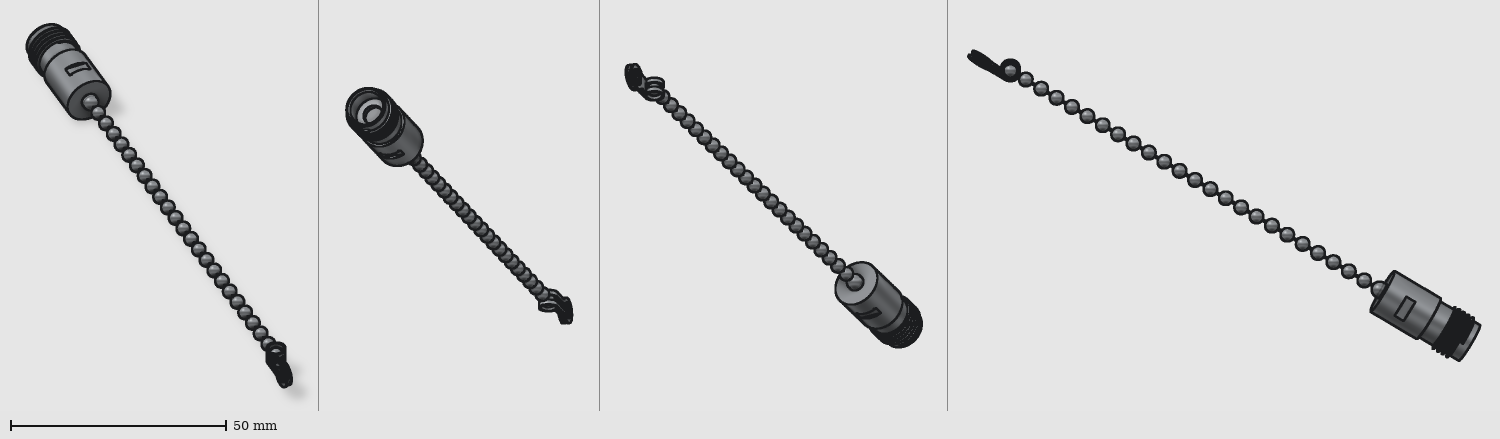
import cadquery as cq
import math

total_length = 134.7

cap_length = 23.6
collar_start = 11.0
collar_radius = 5.5
neck_radius = 4.8
bore_radius = 4.0
bore_depth = 4.7
mouth_chamfer = 0.5
recess_radius = 2.3
recess_depth = 1.3

flat_start = 16.3
flat_length = 2.4
flat_height = 4.8

thread_start = 1.8
thread_length = 5.4
thread_pitch = 1.25
thread_turns = 4.5
first_crest_x = 1.9
thread_base_width = 1.1
thread_crest_width = 0.3
thread_root_overlap = 0.3

bead_radius = 1.6
bead_pitch = 4.2
bead_count = 24
wire_radius = 0.2
stud_radius = 1.9
stud_length = 0.8

sheet = 0.4
loop_outer_diameter = 4.5
strap_width = 3.6
slot_width = 1.2
eyelet_diameter = 6.0
eyelet_hole_radius = 1.9
rear_eyelet_shift = 0.3
rear_leaf_gap = 0.4
rear_leaf_rise = 0.4

stud_center_x = cap_length + stud_length
last_bead_x = stud_center_x + bead_count * bead_pitch
eyelet_radius = eyelet_diameter / 2
loop_outer_radius = loop_outer_diameter / 2
loop_inner_radius = loop_outer_radius - sheet

cutter_span = 2 * collar_radius


def x_cylinder(radius, start, length):
    """Cylinder about the X axis."""
    return cq.Workplane("YZ", origin=(start, 0, 0)).circle(radius).extrude(length)


def thread_ridge():
    """Right-handed helical ridge that winds around the neck."""
    root_radius = neck_radius - thread_root_overlap
    helix_height = thread_pitch * thread_turns
    helix = cq.Wire.makeHelix(thread_pitch, helix_height, root_radius)
    ridge = (
        cq.Workplane("XZ")
        .polyline([
            (root_radius, -thread_base_width / 2),
            (collar_radius, -thread_crest_width / 2),
            (collar_radius, thread_crest_width / 2),
            (root_radius, thread_base_width / 2),
        ])
        .close()
        .sweep(cq.Workplane(obj=helix), isFrenet=True)
    )
    ridge = ridge.rotate((0, 0, 0), (0, 1, 0), 90).translate((first_crest_x, 0, 0))
    return ridge.intersect(x_cylinder(cutter_span, thread_start, thread_length))


def make_cap():
    """Threaded cap with a chamfered blind bore and a wrench flat on two sides."""
    cap = x_cylinder(neck_radius, 0, collar_start)
    cap = cap.union(x_cylinder(collar_radius, collar_start, cap_length - collar_start))

    flat_depth = collar_radius - flat_height
    for side in (1, -1):
        flat_center = (flat_start + flat_length / 2, 0, side * (flat_height + flat_depth / 2))
        cap = cap.cut(cq.Workplane(origin=flat_center).box(flat_length, cutter_span, flat_depth))

    cap = cap.union(thread_ridge())
    cap = cap.cut(x_cylinder(bore_radius, 0, bore_depth))
    cap = cap.cut(x_cylinder(recess_radius, bore_depth, recess_depth))
    mouth_cone = cq.Solid.makeCone(
        bore_radius + mouth_chamfer, bore_radius, mouth_chamfer, dir=cq.Vector(1, 0, 0)
    )
    return cap.cut(cq.Workplane(obj=mouth_cone))


def make_chain():
    """Beads on one wire, with a round-nosed stud that stands on the end of the cap."""
    chain = x_cylinder(stud_radius, cap_length, stud_length)
    nose = cq.Workplane(origin=(stud_center_x, 0, 0)).sphere(stud_radius)
    chain = chain.union(nose.intersect(x_cylinder(stud_radius, stud_center_x, stud_radius)))
    chain = chain.union(x_cylinder(wire_radius, stud_center_x, last_bead_x - stud_center_x))
    for number in range(1, bead_count + 1):
        bead = cq.Workplane(origin=(stud_center_x + number * bead_pitch, 0, 0)).sphere(bead_radius)
        chain = chain.union(bead)
    return chain


def strip(outline, width):
    """Outline in the XY plane, extruded to a strip that is centred on Z = 0."""
    return outline.close().extrude(width / 2, both=True)


def eyelet_mask(center_x, strap_start):
    """Strap that ends in a round eyelet, as a tall block along Y."""
    length = center_x - strap_start
    strap = cq.Workplane().box(length, cutter_span, strap_width).translate(
        ((strap_start + center_x) / 2, 0, 0)
    )
    ring = cq.Workplane("XZ", origin=(center_x, 0, 0))
    disc = ring.circle(eyelet_radius).extrude(cutter_span / 2, both=True)
    hole = ring.circle(eyelet_hole_radius).extrude(cutter_span / 2, both=True)
    return strap.union(disc).cut(hole)


def make_clip():
    """Folded strip: a loop around the last bead and two leaves with eyelets."""
    eyelet_x = total_length - eyelet_radius
    rear_eyelet_x = eyelet_x - rear_eyelet_shift
    rear_tip_x = rear_eyelet_x + eyelet_radius

    front_y = -loop_outer_radius
    rear_y = front_y + sheet + rear_leaf_gap
    loop_outer_end_x = last_bead_x + math.sqrt(loop_outer_radius**2 - (rear_y + sheet) ** 2)
    loop_inner_end_x = last_bead_x + math.sqrt(loop_inner_radius**2 - rear_y**2)
    loop_path = (
        cq.Workplane()
        .moveTo(last_bead_x, front_y)
        .threePointArc((last_bead_x - loop_outer_radius, 0), (last_bead_x, loop_outer_radius))
        .threePointArc((last_bead_x + loop_outer_radius, 0), (loop_outer_end_x, rear_y + sheet))
        .lineTo(loop_outer_end_x, rear_y)
        .lineTo(loop_inner_end_x, rear_y)
        .threePointArc((last_bead_x + loop_inner_radius, 0), (last_bead_x, loop_inner_radius))
        .threePointArc((last_bead_x - loop_inner_radius, 0), (last_bead_x, -loop_inner_radius))
    )
    loop = strip(loop_path, strap_width)

    front_path = (
        cq.Workplane()
        .moveTo(last_bead_x, front_y)
        .lineTo(total_length, front_y)
        .lineTo(total_length, front_y + sheet)
        .lineTo(last_bead_x, front_y + sheet)
    )
    front_leaf = strip(front_path, eyelet_diameter).intersect(eyelet_mask(eyelet_x, last_bead_x))

    rear_path = (
        cq.Workplane()
        .moveTo(loop_inner_end_x, rear_y)
        .lineTo(loop_outer_end_x, rear_y)
        .lineTo(rear_tip_x, rear_y + rear_leaf_rise)
        .lineTo(rear_tip_x, rear_y + rear_leaf_rise + sheet)
        .lineTo(loop_outer_end_x, rear_y + sheet)
    )
    rear_leaf = strip(rear_path, eyelet_diameter).intersect(eyelet_mask(rear_eyelet_x, last_bead_x))

    slot_start = last_bead_x - loop_outer_radius
    loop_slot = cq.Workplane().box(loop_outer_diameter, cutter_span, slot_width).translate(
        (last_bead_x, 0, 0)
    )
    leaf_slot = cq.Workplane().box(eyelet_x - slot_start, cutter_span, slot_width).translate(
        ((slot_start + eyelet_x) / 2, 0, 0)
    )
    return loop.cut(loop_slot).union(front_leaf.cut(leaf_slot)).union(rear_leaf.cut(loop_slot))


cap = make_cap()
chain = make_chain()
clip = make_clip()

result = cq.Compound.makeCompound([cap.solids().val(), chain.solids().val(), clip.solids().val()])